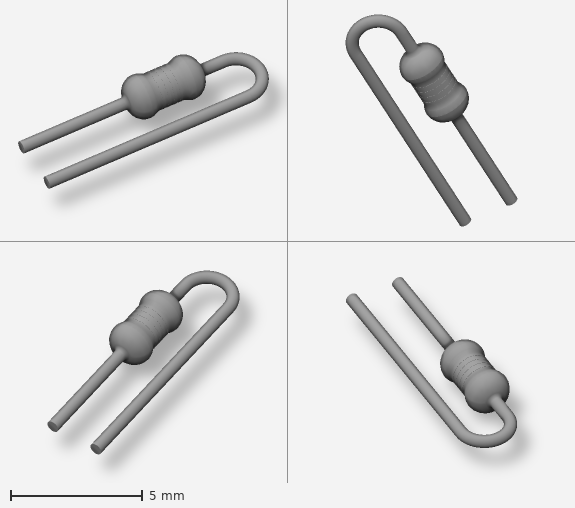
import cadquery as cq
import math

total_length = 10.05
lead_diameter = 0.5
lead_spacing = 2.0

body_center_y = 6.19
bulge_diameter = 1.8
bulge_offset = 0.96
cap_radius = 0.65
neck_radius = 0.16
waist_diameter = 1.53
waist_half_length = 0.45

band_diameter = 1.55
band_count = 4
band_width = 0.12
band_pitch = 0.25

lead_radius = lead_diameter / 2
bulge_radius = bulge_diameter / 2
waist_radius = waist_diameter / 2
bend_radius = lead_spacing / 2
bend_start_y = total_length - bend_radius - lead_radius


def make_leads():
    """Round wire: straight lead, half-turn bend and straight return."""
    path = (
        cq.Workplane("XY")
        .lineTo(0, bend_start_y)
        .threePointArc((bend_radius, bend_start_y + bend_radius), (lead_spacing, bend_start_y))
        .lineTo(lead_spacing, 0)
    )
    return cq.Workplane("XZ").circle(lead_radius).sweep(path)


def make_half_body():
    """Half of the body from its center to the +Y neck, centered on the origin."""
    blend_rise = bulge_radius - waist_radius
    blend_length = bulge_offset - waist_half_length
    blend_angle = 2 * math.atan(blend_rise / blend_length)
    blend_radius = blend_length / (2 * math.sin(blend_angle))
    half_angle_drop = blend_radius * (1 - math.cos(blend_angle / 2))
    half_angle_run = blend_radius * math.sin(blend_angle / 2)
    blend_middle = (waist_radius + blend_rise / 2, waist_half_length + blend_length / 2)
    waist_arc_middle = (waist_radius + half_angle_drop, waist_half_length + half_angle_run)
    bulge_arc_middle = (bulge_radius - half_angle_drop, bulge_offset - half_angle_run)

    cap_center_x = bulge_radius - cap_radius
    neck_center_x = lead_radius + neck_radius
    neck_angle = math.acos((neck_center_x - cap_center_x) / (cap_radius + neck_radius))
    neck_y = bulge_offset + (cap_radius + neck_radius) * math.sin(neck_angle)

    def cap_point(angle):
        return cap_center_x + cap_radius * math.cos(angle), bulge_offset + cap_radius * math.sin(angle)

    def neck_point(angle):
        return neck_center_x - neck_radius * math.cos(angle), neck_y - neck_radius * math.sin(angle)

    return (
        cq.Workplane("XY")
        .lineTo(waist_radius, 0)
        .lineTo(waist_radius, waist_half_length)
        .threePointArc(waist_arc_middle, blend_middle)
        .threePointArc(bulge_arc_middle, (bulge_radius, bulge_offset))
        .threePointArc(cap_point(neck_angle / 2), cap_point(neck_angle))
        .threePointArc(neck_point(neck_angle / 2), (lead_radius, neck_y))
        .lineTo(0, neck_y)
        .close()
        .revolve(360, (0, 0), (0, 1))
    )


def make_band(center_y):
    """One raised band around the waist."""
    return (
        cq.Workplane("XZ", origin=(0, center_y + band_width / 2, 0))
        .circle(band_diameter / 2)
        .extrude(band_width)
    )


half_body = make_half_body()
body = half_body.union(half_body.mirror("XZ"), clean=True)
for index in range(band_count):
    body = body.union(make_band((index - (band_count - 1) / 2) * band_pitch))

result = make_leads().union(body.translate((0, body_center_y, 0)))